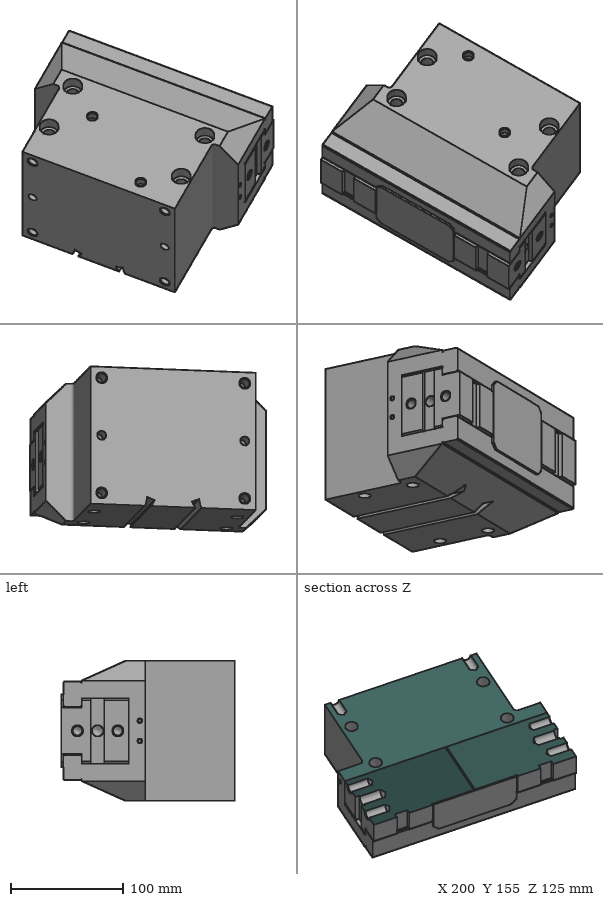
import cadquery as cq
import math


LENGTH = 200.0
DEPTH = 155.0
HEIGHT = 125.0

NECK_LENGTH = 150.0
WING_BACK = 80.0
NECK_FILLET = 3.0
FACE_Y = 136.8
FACE_HEIGHT = 89.5
SLOPE_START = 97.5
CORNER_X = 18.2
CORNER_Z = (HEIGHT - FACE_HEIGHT) / 2

GUIDE_FLOOR = 94.5
GUIDE_HEIGHT = 58.5
JAW_NECK_HEIGHT = 41.5
JAW_CLEARANCE = 1.0
JAW_END_CHAMFER = 2.0
KEY_WIDTH = 12.0
KEY_DEPTH = 4.0
END_KEY_Y = 122.5
FRONT_KEY_X = 71.0
JAW_HOLE_PITCH = 18.0

PLATE_THICKNESS = 2.0
COVER_TOP = DEPTH - PLATE_THICKNESS
COVER_OUTER = 44.0
COVER_INNER = 21.5
COVER_CHAMFER = 1.0
PLATE_LENGTH = 81.8
PLATE_HEIGHT = 65.2
PLATE_CHAMFER = 5.0

THREAD_DIAMETER = 10.0
THREAD_CORE = 8.5
THREAD_DEPTH = 20.0
PIN_DIAMETER = 10.0
PIN_DEPTH = 20.0
DOWEL_DIAMETER = 8.0
DOWEL_DEPTH = 16.0
DRILL_TIP_ANGLE = 118.0
SCREW_X = 65.0
SCREW_Y = (35.0, 85.0)
SCREW_DIAMETER = 11.0
SCREW_HEAD_DIAMETER = 17.0
SCREW_HEAD_DEPTH = 11.5
MOUNT_HOLE_Z = 52.5
PORTS = ((-35.0, 62.0), (35.0, 13.8))
PORT_SEAT_DEPTH = 8.0
PORT_DIAMETER = 4.0
PORT_DEPTH = 14.0
SIDE_HOLE_Y = 84.8
SIDE_HOLE_Z = 9.0
SIDE_HOLE_MOUTH = 4.2
SIDE_HOLE_CORE = 3.2
SIDE_HOLE_DEPTH = 10.0

GROOVE_OUTER_FOOT = (25.8, 0.0)
GROOVE_OUTER_KINK = (24.5, 2.8)
GROOVE_OUTER_TOP = (23.5, 8.0)
GROOVE_INNER_TOP = (17.0, 5.5)
GROOVE_INNER_KINK = (18.2, 2.8)
GROOVE_INNER_FOOT = (20.2, 0.0)


def block(x_range, y_range, z_range):
    """Box between two limits on each axis."""
    lows, highs = zip(x_range, y_range, z_range)
    size = [high - low for low, high in zip(lows, highs)]
    return cq.Workplane("XY").box(*size, centered=False).translate(lows)


def drill(mouth, direction, diameter, depth, mouth_diameter=None):
    """Cutter for a blind hole with a conical tip and, if asked, a 45-degree countersink."""
    radius = diameter / 2
    tip = radius / math.tan(math.radians(DRILL_TIP_ANGLE / 2))
    start, along = cq.Vector(*mouth), cq.Vector(*direction)
    shank = cq.Solid.makeCylinder(radius, depth, start, along)
    cone = cq.Solid.makeCone(radius, 0, tip, start + along * depth, along)
    cutter = cq.Workplane(shank).union(cq.Workplane(cone))
    if mouth_diameter:
        sink_depth = (mouth_diameter - diameter) / 2
        sink = cq.Solid.makeCone(mouth_diameter / 2, radius, sink_depth, start, along)
        cutter = cutter.union(cq.Workplane(sink))
    return cutter


def housing_blank():
    """T-shaped block with sloped front, bevelled wing corners and filleted inner corners."""
    tee = (
        cq.Workplane("XY", origin=(0, 0, -HEIGHT / 2))
        .rect(NECK_LENGTH, 2 * WING_BACK)
        .extrude(HEIGHT)
        .union(block((-LENGTH / 2, LENGTH / 2), (WING_BACK, FACE_Y), (-HEIGHT / 2, HEIGHT / 2)))
        .intersect(block((-LENGTH, LENGTH), (0, DEPTH), (-HEIGHT, HEIGHT)))
    )
    margin = NECK_FILLET
    inner_corners = cq.selectors.BoxSelector(
        (-NECK_LENGTH / 2 - margin, WING_BACK - margin, -HEIGHT),
        (NECK_LENGTH / 2 + margin, WING_BACK + margin, HEIGHT),
    )
    blank = tee.edges("|Z").edges(inner_corners).fillet(NECK_FILLET)
    side_profile = (
        cq.Workplane("YZ", origin=(-LENGTH / 2, 0, 0))
        .polyline([
            (0, -HEIGHT / 2),
            (SLOPE_START, -HEIGHT / 2),
            (FACE_Y, -FACE_HEIGHT / 2),
            (FACE_Y, FACE_HEIGHT / 2),
            (SLOPE_START, HEIGHT / 2),
            (0, HEIGHT / 2),
        ])
        .close()
        .extrude(LENGTH)
    )
    corner_x = LENGTH / 2 - CORNER_X
    corner_z = HEIGHT / 2 - CORNER_Z
    front_profile = (
        cq.Workplane("XZ")
        .polyline([
            (-LENGTH / 2, -corner_z),
            (-corner_x, -HEIGHT / 2),
            (corner_x, -HEIGHT / 2),
            (LENGTH / 2, -corner_z),
            (LENGTH / 2, corner_z),
            (corner_x, HEIGHT / 2),
            (-corner_x, HEIGHT / 2),
            (-LENGTH / 2, corner_z),
        ])
        .close()
        .extrude(-DEPTH)
    )
    return blank.intersect(side_profile).intersect(front_profile)


def cover(side):
    """Guide cover above (side = 1) or below (side = -1) the jaw necks."""
    z_range = sorted((side * COVER_INNER, side * COVER_OUTER))
    bar = block((-LENGTH / 2, LENGTH / 2), (FACE_Y, COVER_TOP), z_range)
    return bar.edges("|X").chamfer(COVER_CHAMFER)


def centre_plate():
    """Bevelled plate that lies on both covers between the jaws."""
    plate = block(
        (-PLATE_LENGTH / 2, PLATE_LENGTH / 2),
        (COVER_TOP, DEPTH),
        (-PLATE_HEIGHT / 2, PLATE_HEIGHT / 2),
    )
    return plate.edges("|Y").chamfer(PLATE_CHAMFER)


def sensor_groove(side):
    """Inclined, undercut groove along Y in the bottom face."""
    points = [
        (side * distance, height - HEIGHT / 2)
        for distance, height in (
            GROOVE_OUTER_FOOT,
            GROOVE_OUTER_KINK,
            GROOVE_OUTER_TOP,
            GROOVE_INNER_TOP,
            GROOVE_INNER_KINK,
            GROOVE_INNER_FOOT,
        )
    ]
    return (
        cq.Workplane("XZ")
        .polyline(points)
        .close()
        .extrude(-DEPTH)
    )


def screw_hole(x, y):
    """Vertical through hole with a counterbore in the top face."""
    top = cq.Vector(x, y, HEIGHT / 2)
    down = cq.Vector(0, 0, -1)
    bore = cq.Solid.makeCylinder(SCREW_DIAMETER / 2, HEIGHT, top, down)
    head = cq.Solid.makeCylinder(SCREW_HEAD_DIAMETER / 2, SCREW_HEAD_DEPTH, top, down)
    return cq.Workplane(bore).union(cq.Workplane(head))


def port(x, y):
    """Countersunk flat seat in the top face with a small drilled hole in its floor."""
    top = cq.Vector(x, y, HEIGHT / 2)
    down = cq.Vector(0, 0, -1)
    sink_depth = (THREAD_DIAMETER - THREAD_CORE) / 2
    seat = cq.Solid.makeCylinder(THREAD_CORE / 2, PORT_SEAT_DEPTH, top, down)
    sink = cq.Solid.makeCone(THREAD_DIAMETER / 2, THREAD_CORE / 2, sink_depth, top, down)
    bore = drill(top.toTuple(), down.toTuple(), PORT_DIAMETER, PORT_DEPTH)
    return bore.union(cq.Workplane(seat)).union(cq.Workplane(sink))


def make_housing():
    guide = block(
        (-LENGTH / 2, LENGTH / 2), (GUIDE_FLOOR, FACE_Y), (-GUIDE_HEIGHT / 2, GUIDE_HEIGHT / 2)
    )
    body = housing_blank().cut(guide)

    for side in (-1, 1):
        body = body.cut(sensor_groove(side))
        for y in SCREW_Y:
            body = body.cut(screw_hole(side * SCREW_X, y))
        body = body.cut(drill((side * SCREW_X, 0, 0), (0, 1, 0), DOWEL_DIAMETER, DOWEL_DEPTH))
        for z in (-MOUNT_HOLE_Z, MOUNT_HOLE_Z):
            mouth = (side * SCREW_X, 0, z)
            body = body.cut(drill(mouth, (0, 1, 0), THREAD_CORE, THREAD_DEPTH, THREAD_DIAMETER))
        for z in (-SIDE_HOLE_Z, SIDE_HOLE_Z):
            mouth = (side * LENGTH / 2, SIDE_HOLE_Y, z)
            side_hole = drill(mouth, (-side, 0, 0), SIDE_HOLE_CORE, SIDE_HOLE_DEPTH, SIDE_HOLE_MOUTH)
            body = body.cut(side_hole)
    for x, y in PORTS:
        body = body.cut(port(x, y))

    for side in (-1, 1):
        body = body.union(cover(side), clean=False)
    return body.union(centre_plate(), clean=False)


def make_jaw(side):
    """T-shaped jaw at the -X (side = -1) or +X (side = 1) end, stepped to reach under the plate."""
    end_x = side * LENGTH / 2
    inner_x = side * JAW_CLEARANCE / 2
    pad_x = side * (PLATE_LENGTH / 2 + JAW_CLEARANCE)
    x_range = sorted((inner_x, end_x))
    foot = block(x_range, (GUIDE_FLOOR, FACE_Y), (-GUIDE_HEIGHT / 2, GUIDE_HEIGHT / 2))
    end_face = ">X" if side > 0 else "<X"
    foot = foot.faces(end_face).edges("|Y").chamfer(JAW_END_CHAMFER)
    neck_z = (-JAW_NECK_HEIGHT / 2, JAW_NECK_HEIGHT / 2)
    neck = block(x_range, (GUIDE_FLOOR, COVER_TOP), neck_z)
    pad = block(sorted((pad_x, end_x)), (GUIDE_FLOOR, DEPTH), neck_z)
    jaw = foot.union(neck).union(pad)

    key_floor_x = end_x - side * KEY_DEPTH
    end_key = block(
        sorted((key_floor_x, end_x)),
        (END_KEY_Y - KEY_WIDTH / 2, END_KEY_Y + KEY_WIDTH / 2),
        (-GUIDE_HEIGHT / 2, GUIDE_HEIGHT / 2),
    )
    front_key_x = side * FRONT_KEY_X
    front_key = block(
        (front_key_x - KEY_WIDTH / 2, front_key_x + KEY_WIDTH / 2),
        (DEPTH - KEY_DEPTH, DEPTH),
        neck_z,
    )
    jaw = jaw.cut(end_key).cut(front_key)

    inward = (-side, 0, 0)
    jaw = jaw.cut(drill((key_floor_x, END_KEY_Y, 0), inward, PIN_DIAMETER, PIN_DEPTH))
    for y in (END_KEY_Y - JAW_HOLE_PITCH, END_KEY_Y + JAW_HOLE_PITCH):
        jaw = jaw.cut(drill((end_x, y, 0), inward, THREAD_CORE, THREAD_DEPTH, THREAD_DIAMETER))
    return jaw


housing = make_housing()
jaws = [make_jaw(side) for side in (-1, 1)]

result = cq.Compound.makeCompound([housing.val(), *[jaw.val() for jaw in jaws]])